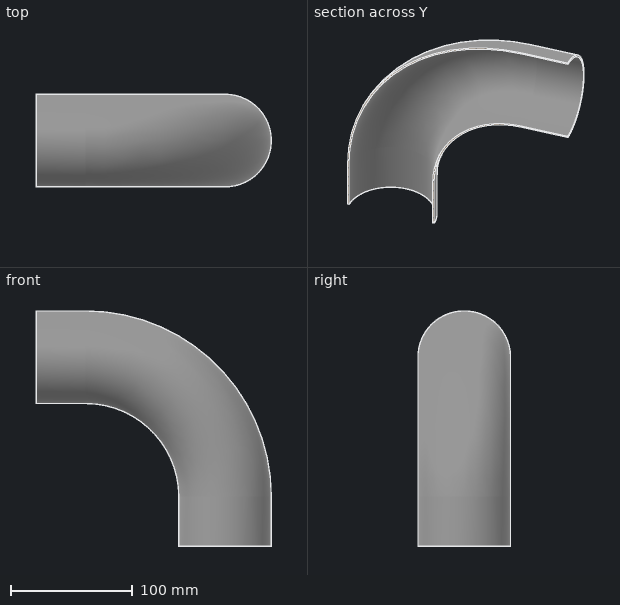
import cadquery as cq

outer_diameter = 76.2
wall_thickness = 1.65
bend_radius = 1.5 * outer_diameter
straight_length = 40.7
bend_angle = 90

outer_radius = outer_diameter / 2
inner_radius = outer_radius - wall_thickness


def pipe_section(plane):
    """Annular pipe cross-section centred on the given plane."""
    return cq.Workplane(plane).circle(outer_radius).circle(inner_radius)


upper_plane = cq.Plane(origin=(0, 0, bend_radius), xDir=(0, 1, 0), normal=(-1, 0, 0))
lower_plane = cq.Plane(origin=(bend_radius, 0, 0), xDir=(1, 0, 0), normal=(0, 0, -1))


def elbow():
    """Quarter-torus pipe, revolved about the Y axis through the bend centre."""
    axis_start = (-bend_radius, 0)
    axis_end = (-bend_radius, 1)
    return pipe_section(lower_plane).revolve(bend_angle, axis_start, axis_end)


def straight_end(plane):
    """Straight pipe stub leaving the elbow along the plane normal."""
    return pipe_section(plane).extrude(straight_length)


result = elbow().union(straight_end(upper_plane)).union(straight_end(lower_plane))